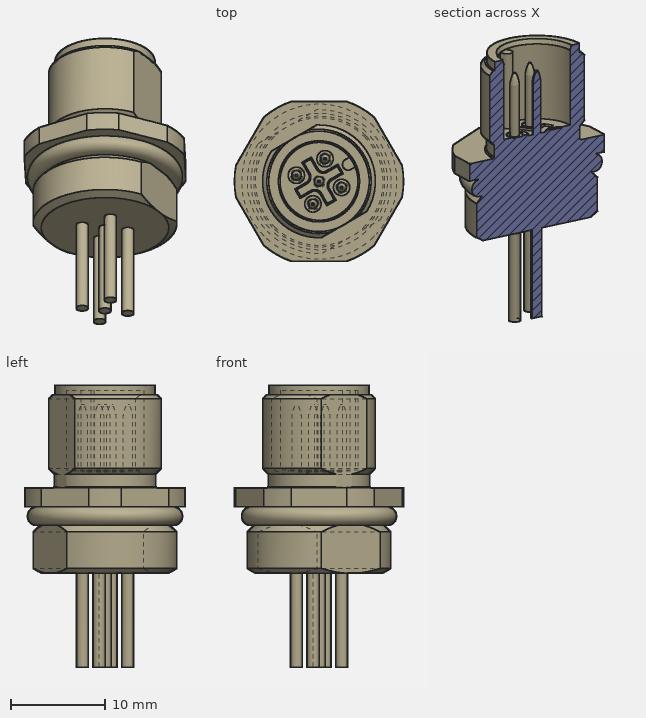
import cadquery as cq
import math

overall_height = 30.0
nut_bottom = 10.02
nut_top = 15.1
flange_bottom = 17.07
flange_top = 19.08
neck_top = 20.55
body_top = 29.0

nut_radius = 7.65
nut_flat_distance = 6.75
nut_bottom_chamfer_width = 0.87
nut_bottom_chamfer_height = 0.5
nut_top_chamfer = 0.7
ring_section_radius = (flange_bottom - nut_top) / 2
ring_outer_radius = 8.25
ring_centre_radius = ring_outer_radius - ring_section_radius

flange_across_flats = 17.0
flange_corner_radius = 9.0
flange_rotation = 30

neck_radius = 5.4
neck_flare = 0.15
body_radius = 6.0
body_flat_distance = 5.3
body_bottom_chamfer = body_radius - neck_radius
body_top_chamfer = 0.45
collar_radius = 5.35
flat_directions = (120, 300)

socket_radius = 4.15
socket_floor = 21.0
mouth_radius = 4.32
mouth_depth = 0.55
key_radius = 0.6
key_offset = 3.57
key_direction = 30

cross_arm_length = 2.65
cross_arm_width = 1.15
cross_corner_radius = 0.65
cross_depth = 0.18
cross_draft_angle = 40

contact_circle_radius = 2.5
contact_directions = (75, 165, 255, 345)
contact_radius = 0.5
contact_top = 27.95
contact_shoulder_radius = 0.45
contact_shoulder_height = 0.3
contact_tip_radius = 0.12
contact_tip_height = 0.93
contact_tip_bulge = 0.045
contact_recess_radius = 0.87
contact_recess_depth = 0.1
wire_diameter = 1.3


def polar(radius, direction):
    angle = math.radians(direction)
    return (radius * math.cos(angle), radius * math.sin(angle))


def cylinder(radius, bottom, top, centre=(0, 0)):
    return cq.Workplane("XY", origin=(*centre, bottom)).circle(radius).extrude(top - bottom)


def revolve_profile(profile):
    """Turn a closed half-section (radius, height) about the Z axis."""
    return profile.close().revolve(360, (0, 0, 0), (0, 1, 0))


def cut_flats(solid, distance):
    """Plane off two opposite sides at the given distance from the axis."""
    span = 2 * flange_corner_radius
    for direction in flat_directions:
        block = (
            cq.Workplane("XY")
            .box(span, span, overall_height, centered=(False, True, False))
            .translate((distance, 0, 0))
            .rotate((0, 0, 0), (0, 0, 1), direction)
        )
        solid = solid.cut(block)
    return solid


def make_nut():
    profile = cq.Workplane("XZ").polyline([
        (0, nut_bottom),
        (nut_radius - nut_bottom_chamfer_width, nut_bottom),
        (nut_radius, nut_bottom + nut_bottom_chamfer_height),
        (nut_radius, nut_top - nut_top_chamfer),
        (nut_radius - nut_top_chamfer, nut_top),
        (0, nut_top),
    ])
    return cut_flats(revolve_profile(profile), nut_flat_distance)


def make_sealing_ring():
    profile = (
        cq.Workplane("XZ")
        .moveTo(0, nut_top)
        .lineTo(ring_centre_radius, nut_top)
        .threePointArc(
            (ring_outer_radius, nut_top + ring_section_radius),
            (ring_centre_radius, flange_bottom),
        )
        .lineTo(0, flange_bottom)
    )
    return revolve_profile(profile)


def make_flange():
    hexagon = (
        cq.Workplane("XY", origin=(0, 0, flange_bottom))
        .polygon(6, flange_across_flats, circumscribed=True)
        .extrude(flange_top - flange_bottom)
        .rotate((0, 0, 0), (0, 0, 1), flange_rotation)
    )
    return hexagon.intersect(cylinder(flange_corner_radius, flange_bottom, flange_top))


def make_body():
    profile = cq.Workplane("XZ").polyline([
        (0, flange_top),
        (neck_radius + neck_flare, flange_top),
        (neck_radius, flange_top + neck_flare),
        (neck_radius, neck_top),
        (body_radius, neck_top + body_bottom_chamfer),
        (body_radius, body_top - body_top_chamfer),
        (body_radius - body_top_chamfer, body_top),
        (0, body_top),
    ])
    body = cut_flats(revolve_profile(profile), body_flat_distance)
    return body.union(cylinder(collar_radius, body_top, overall_height))


def make_socket_cavity():
    profile = cq.Workplane("XZ").polyline([
        (0, socket_floor),
        (socket_radius, socket_floor),
        (socket_radius, overall_height - mouth_depth),
        (mouth_radius, overall_height),
        (0, overall_height),
    ])
    return revolve_profile(profile)


def make_cross_recess():
    """Cross with rounded inner corners, narrowing towards its bottom."""
    length = 2 * cross_arm_length
    inner_corners = cq.selectors.BoxSelector(
        (-cross_arm_width, -cross_arm_width, -0.3),
        (cross_arm_width, cross_arm_width, 0.3),
    )
    outline = (
        cq.Sketch()
        .rect(length, cross_arm_width)
        .rect(cross_arm_width, length)
        .clean()
        .vertices(inner_corners)
        .fillet(cross_corner_radius)
    )
    recess = (
        cq.Workplane("XY", origin=(0, 0, socket_floor))
        .placeSketch(outline)
        .extrude(-cross_depth, taper=cross_draft_angle)
    )
    return recess.rotate((0, 0, 0), (0, 0, 1), key_direction)


def make_key():
    """Coding key: a rounded rib with parallel sides that merges into the socket wall."""
    top = overall_height - mouth_depth
    outer_end = (socket_radius + body_flat_distance) / 2
    rib = (
        cq.Workplane("XY", origin=(0, 0, socket_floor))
        .moveTo(outer_end, key_radius)
        .lineTo(key_offset, key_radius)
        .threePointArc((key_offset - key_radius, 0), (key_offset, -key_radius))
        .lineTo(outer_end, -key_radius)
        .close()
        .extrude(top - socket_floor)
    )
    return rib.rotate((0, 0, 0), (0, 0, 1), key_direction)


def make_contact(bottom):
    tip_base = contact_top - contact_tip_height
    shoulder_base = tip_base - contact_shoulder_height
    tip_mid_radius = (contact_shoulder_radius + contact_tip_radius) / 2 + contact_tip_bulge
    profile = (
        cq.Workplane("XZ")
        .moveTo(0, bottom)
        .lineTo(contact_radius, bottom)
        .lineTo(contact_radius, shoulder_base)
        .lineTo(contact_shoulder_radius, tip_base)
        .threePointArc(
            (tip_mid_radius, tip_base + contact_tip_height / 2),
            (contact_tip_radius, contact_top),
        )
        .lineTo(0, contact_top)
    )
    return revolve_profile(profile)


result = make_nut().union(make_sealing_ring()).union(make_flange()).union(make_body())
result = result.cut(make_socket_cavity()).cut(make_cross_recess())

outer_contacts = [polar(contact_circle_radius, direction) for direction in contact_directions]
recess_bottom = socket_floor - contact_recess_depth
for position in outer_contacts:
    result = result.cut(cylinder(contact_recess_radius, recess_bottom, socket_floor, position))

for position in [(0, 0)] + outer_contacts:
    contact = make_contact(socket_floor - cross_depth).translate((*position, 0))
    wire = cylinder(wire_diameter / 2, 0, nut_bottom, position)
    result = result.union(contact).union(wire)

result = result.union(make_key())